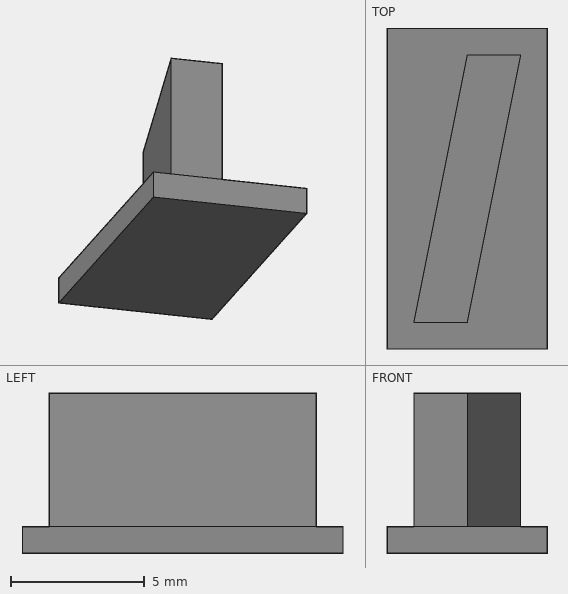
import cadquery as cq

base_width = 6.0
base_length = 12.0
base_thickness = 1.0

edge_margin = 1.0
rib_width = 2.0
rib_height = 5.0


def make_base():
    """Rectangular plate centred on X and Y, resting on Z = 0."""
    return cq.Workplane("XY").box(
        base_width, base_length, base_thickness, centered=(True, True, False)
    )


def make_rib():
    """Upright rib with a parallelogram footprint, inset evenly from the plate edges."""
    half_span_x = base_width / 2 - edge_margin
    half_span_y = base_length / 2 - edge_margin
    footprint = [
        (-half_span_x, -half_span_y),
        (-half_span_x + rib_width, -half_span_y),
        (half_span_x, half_span_y),
        (half_span_x - rib_width, half_span_y),
    ]
    return (
        cq.Workplane("XY")
        .workplane(offset=base_thickness)
        .polyline(footprint)
        .close()
        .extrude(rib_height)
    )


result = make_base().union(make_rib())